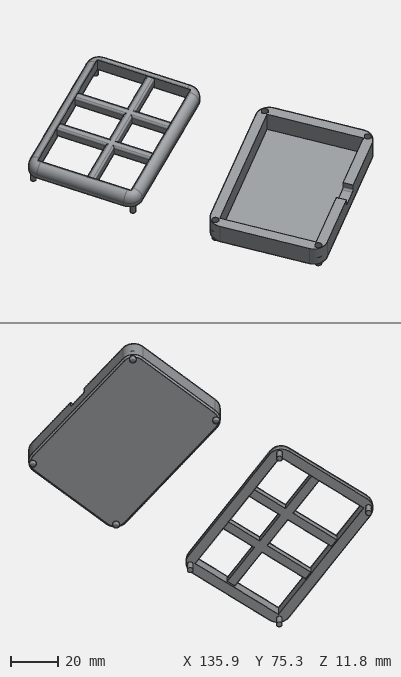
import cadquery as cq
import math

outer_width = 52.0
outer_length = 72.0
corner_radius = 6.0
wall = 4.5
peg_inset = 3.0

opening_width = outer_width - 2 * wall
opening_length = outer_length - 2 * wall

frame_height = 6.0
frame_rounding = 4.0
bar_width = 4.0
bar_bottom = 1.5
bar_height = 4.2
bar_rounding = 1.0
long_bar_x = 3.0
cross_bar_positions = (-9.5, 9.6)
peg_diameter = 2.5
peg_length = 5.0

tray_height = 10.3
tray_bottom_chamfer = 0.8
pocket_depth = 9.4
socket_diameter = 3.0
socket_depth = 6.0
foot_diameter = 3.0
foot_height = 1.5
foot_rounding = 1.0
notch_width = 9.0
notch_depth = 3.5
notch_rounding = 1.0

overall_width = 135.9
tray_angle = 5
frame_bottom_z = 4.0

arc_center_x = outer_width / 2 - corner_radius
arc_center_y = outer_length / 2 - corner_radius
tilt_cos = math.cos(math.radians(tray_angle))
tilt_sin = math.sin(math.radians(tray_angle))
tray_half_x = arc_center_x * tilt_cos + arc_center_y * tilt_sin + corner_radius
tray_half_y = arc_center_x * tilt_sin + arc_center_y * tilt_cos + corner_radius

tray_x = overall_width - outer_width / 2 - tray_half_x
tray_y = tray_half_y - outer_length / 2

corner_points = [
    (sx * (outer_width / 2 - peg_inset), sy * (outer_length / 2 - peg_inset))
    for sx in (-1, 1)
    for sy in (-1, 1)
]


def rounded_block(height):
    """Block with the common outline, its underside at Z = 0."""
    return (
        cq.Workplane("XY")
        .rect(outer_width, outer_length)
        .extrude(height)
        .edges("|Z")
        .fillet(corner_radius)
    )


def corner_pins(diameter, height):
    """Four round pins rising from Z = 0 near the corners."""
    return cq.Workplane("XY").pushPoints(corner_points).circle(diameter / 2).extrude(height)


def bar(size_x, size_y, long_axis):
    """Window bar with rounded long top edges, raised above the frame's underside."""
    return (
        cq.Workplane("XY")
        .rect(size_x, size_y)
        .extrude(bar_height)
        .edges(">Z and |" + long_axis)
        .fillet(bar_rounding)
        .translate((0, 0, bar_bottom))
    )


def make_frame():
    """Rounded window frame with three bars and four pegs underneath."""
    rim = rounded_block(frame_height).faces(">Z").edges().fillet(frame_rounding)
    opening = cq.Workplane("XY").rect(opening_width, opening_length).extrude(frame_height)
    frame = rim.cut(opening)

    bars = bar(bar_width, opening_length, "Y").translate((long_bar_x, 0, 0))
    for cross_bar_y in cross_bar_positions:
        bars = bars.union(bar(opening_width, bar_width, "X").translate((0, cross_bar_y, 0)))

    pegs = corner_pins(peg_diameter, peg_length).translate((0, 0, -peg_length))
    return frame.union(bars).union(pegs)


def make_tray():
    """Open tray with corner sockets, a notch in one long wall and four feet."""
    tray = rounded_block(tray_height).faces("<Z").edges().chamfer(tray_bottom_chamfer)

    pocket = (
        cq.Workplane("XY")
        .rect(opening_width, opening_length)
        .extrude(pocket_depth)
        .translate((0, 0, tray_height - pocket_depth))
    )
    sockets = corner_pins(socket_diameter, socket_depth).translate((0, 0, tray_height - socket_depth))

    notch = (
        cq.Workplane("XY")
        .rect(wall, notch_width)
        .extrude(notch_depth)
        .edges("<Z and |X")
        .fillet(notch_rounding)
        .translate(((outer_width - wall) / 2, 0, tray_height - notch_depth))
    )

    feet = (
        corner_pins(foot_diameter, foot_height + tray_bottom_chamfer)
        .faces("<Z")
        .edges()
        .fillet(foot_rounding)
        .translate((0, 0, -foot_height))
    )
    return tray.cut(pocket).cut(sockets).cut(notch).union(feet)


frame = make_frame().translate((0, 0, frame_bottom_z))
tray = make_tray().rotate((0, 0, 0), (0, 0, 1), tray_angle).translate((tray_x, tray_y, 0))

result = cq.Compound.makeCompound([frame.val(), tray.val()])